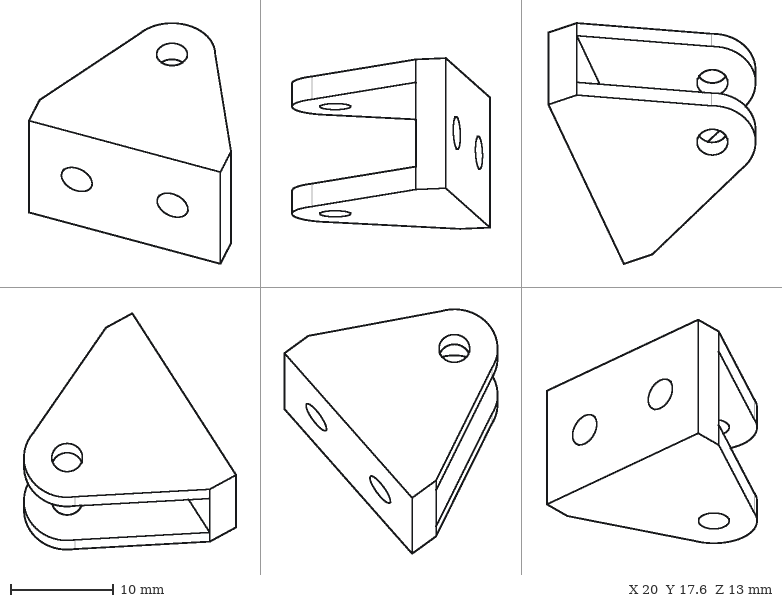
import cadquery as cq
import math

width = 20.0
depth = 17.55
height = 13.0
base_thickness = 3.0
arm_thickness = 2.3
tip_radius = 4.25
arc_end_drop = 2.75
pin_diameter = 3.0
mount_diameter = 3.2
mount_spacing = 10.0

pin_y = depth - tip_radius
arc_end_y = depth - arc_end_drop
arc_end_x = math.sqrt(tip_radius**2 - (arc_end_y - pin_y) ** 2)
gap = height - 2 * arm_thickness


def bracket_body():
    """Full-height outline: rectangular base tapering to a rounded tip."""
    return (
        cq.Workplane("XY")
        .moveTo(-width / 2, 0)
        .lineTo(width / 2, 0)
        .lineTo(width / 2, base_thickness)
        .lineTo(arc_end_x, arc_end_y)
        .threePointArc((0, depth), (-arc_end_x, arc_end_y))
        .lineTo(-width / 2, base_thickness)
        .close()
        .extrude(height)
    )


def arm_gap():
    """Open space between the two arms, in front of the base."""
    return cq.Workplane("XY").box(width, depth, gap, centered=(True, False, False)).translate(
        (0, base_thickness, arm_thickness)
    )


def pin_hole():
    """Hole along Z through both arms, concentric with the tip."""
    return cq.Workplane("XY").center(0, pin_y).circle(pin_diameter / 2).extrude(height)


def mount_holes():
    """Pair of holes along Y through the base, at mid height."""
    return (
        cq.Workplane("XZ")
        .pushPoints([(side * mount_spacing / 2, height / 2) for side in (-1, 1)])
        .circle(mount_diameter / 2)
        .extrude(-base_thickness)
    )


result = bracket_body().cut(arm_gap()).cut(pin_hole()).cut(mount_holes())